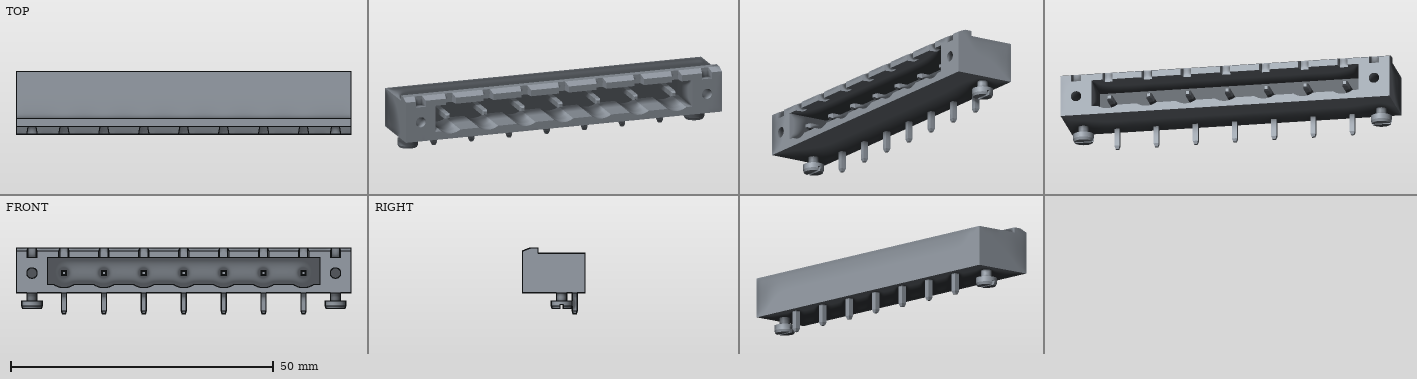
import cadquery as cq


pin_count = 7
pitch = 7.62
pin_width = 1.0
pin_tip_width = 0.6
pin_tip_length = 0.6
pin_tail_length = 4.0
pin_height = 3.8
pin_tip_depth = 1.8

length = 63.92
depth = 12.0
rear_height = 7.6
lip_height = 8.6
lip_depth = 3.0
front_edge_height = 8.0
bevel_depth = 1.5

end_wall = 6.0
cavity_depth = 8.5
cavity_floor = 1.6
cavity_top = 6.8
cavity_length = length - 2 * end_wall
scallop_width = 3.8
scallop_drop = 0.6

notch_front_width = 2.0
notch_rear_width = 1.5

flange_inset = 3.0
flange_hole_diameter = 2.0
flange_hole_depth = 6.0
shank_diameter = 2.0
shank_length = 1.5
head_diameter = 4.0
head_height = 1.5
head_bevel_height = 0.5
head_bevel_width = 0.2
slot_width = 0.55
slot_depth = 0.8
screw_setback = 4.5
tail_setback = 2.0
shank_embed = 1.0

pin_positions = [(i - (pin_count - 1) / 2) * pitch for i in range(pin_count)]
flange_positions = [side * (length / 2 - flange_inset) for side in (-1, 1)]
tail_y = depth - tail_setback
screw_y = depth - screw_setback


def make_housing():
    """Solid housing: a side profile with a raised, bevelled front lip, extruded along X."""
    return (
        cq.Workplane("YZ")
        .moveTo(0, 0)
        .lineTo(depth, 0)
        .lineTo(depth, rear_height)
        .lineTo(lip_depth, rear_height)
        .lineTo(lip_depth, lip_height)
        .lineTo(bevel_depth, lip_height)
        .lineTo(0, front_edge_height)
        .close()
        .extrude(length / 2, both=True)
    )


def make_cavity():
    """Mating cavity whose floor dips in a shallow arc below each pin."""
    half_length = cavity_length / 2
    outline = cq.Workplane("XZ").moveTo(-half_length, cavity_top).lineTo(-half_length, cavity_floor)
    for x in pin_positions:
        outline = outline.lineTo(x - scallop_width / 2, cavity_floor).threePointArc(
            (x, cavity_floor - scallop_drop), (x + scallop_width / 2, cavity_floor)
        )
    outline = outline.lineTo(half_length, cavity_floor).lineTo(half_length, cavity_top).close()
    return outline.extrude(-cavity_depth)


def make_notch(x):
    """Notch through the bevelled front of the lip, wider at the mating face."""
    return (
        cq.Workplane("XY", origin=(x, 0, cavity_top))
        .moveTo(-notch_front_width / 2, 0)
        .lineTo(notch_front_width / 2, 0)
        .lineTo(notch_rear_width / 2, bevel_depth)
        .lineTo(-notch_rear_width / 2, bevel_depth)
        .close()
        .extrude(lip_height - cavity_top)
    )


def make_flange_hole(x):
    """Blind round hole entering from the mating face."""
    return (
        cq.Workplane("XZ", origin=(x, 0, pin_height))
        .circle(flange_hole_diameter / 2)
        .extrude(-flange_hole_depth)
    )


def make_tapered_bar(plane, bar_length):
    """Square bar along the plane normal, ending in a tapered tip at bar_length."""
    shaft_length = bar_length - pin_tip_length
    shaft = cq.Workplane(plane).rect(pin_width, pin_width).extrude(shaft_length)
    tip = (
        cq.Workplane(plane)
        .workplane(offset=shaft_length)
        .rect(pin_width, pin_width)
        .workplane(offset=pin_tip_length)
        .rect(pin_tip_width, pin_tip_width)
        .loft(ruled=True)
    )
    return shaft.union(tip)


def make_pin(x):
    """Right-angled pin: a contact facing -Y and a solder tail facing -Z."""
    corner = (x, tail_y, pin_height)
    contact_plane = cq.Plane(origin=corner, xDir=(1, 0, 0), normal=(0, -1, 0))
    tail_plane = cq.Plane(origin=corner, xDir=(1, 0, 0), normal=(0, 0, -1))
    contact = make_tapered_bar(contact_plane, tail_y - pin_tip_depth)
    tail = make_tapered_bar(tail_plane, pin_height + pin_tail_length)
    return contact.union(tail)


def make_screw(x):
    """Slotted screw below the housing, revolved about its vertical axis."""
    head_top = -shank_length
    head_bottom = head_top - head_height
    head_radius = head_diameter / 2
    screw = (
        cq.Workplane("XZ", origin=(x, screw_y, 0))
        .moveTo(0, shank_embed)
        .lineTo(shank_diameter / 2, shank_embed)
        .lineTo(shank_diameter / 2, head_top)
        .lineTo(head_radius, head_top)
        .lineTo(head_radius, head_bottom + head_bevel_height)
        .lineTo(head_radius - head_bevel_width, head_bottom)
        .lineTo(0, head_bottom)
        .close()
        .revolve(360, (0, 0), (0, 1))
    )
    slot = (
        cq.Workplane("XY", origin=(x, screw_y, head_bottom))
        .rect(head_diameter, slot_width)
        .extrude(slot_depth)
    )
    return screw.cut(slot)


result = make_housing().cut(make_cavity())

for x in pin_positions + flange_positions:
    result = result.cut(make_notch(x))

for x in flange_positions:
    result = result.cut(make_flange_hole(x)).union(make_screw(x))

for x in pin_positions:
    result = result.union(make_pin(x))